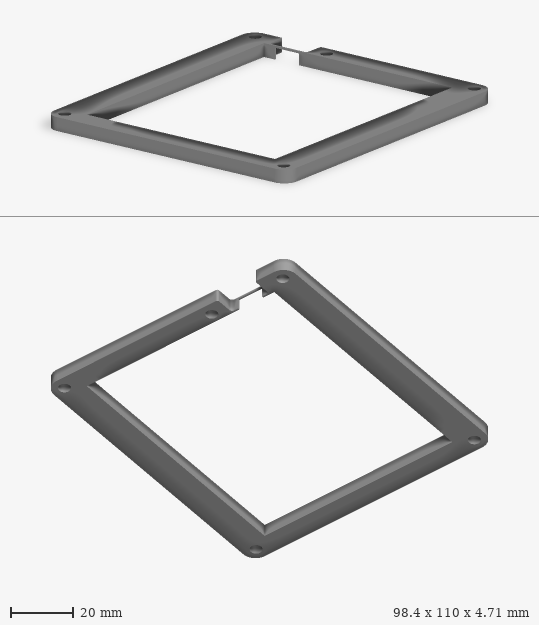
import cadquery as cq

length_x = 98.42
length_y = 109.97
thickness = 4.71
corner_radius = 5.0

window_x = 76.4
window_y = 94.0

hole_diameter = 4.25
hole_inset_x = 4.75
hole_inset_y = 4.4
extra_hole_x = -15.5

notch_width = 15.2
notch_depth = 7.3
notch_center_x = -28.9
notch_mouth_radius = 0.8
notch_floor_radius = 1.2

gap_width = 9.7
bridge_height = 0.7

back_y = length_y / 2
hole_x = length_x / 2 - hole_inset_x
hole_y = back_y - hole_inset_y
notch_floor_y = back_y - notch_depth
web_thickness = notch_floor_y - window_y / 2


def make_frame():
    """Rounded plate with the central window cut out."""
    plate = (
        cq.Workplane("XY")
        .rect(length_x, length_y)
        .extrude(thickness)
        .edges("|Z")
        .fillet(corner_radius)
    )
    window = cq.Workplane("XY").rect(window_x, window_y).extrude(thickness)
    return plate.cut(window)


def make_holes():
    """Cylinders for the five through holes."""
    corners = [(sx * hole_x, sy * hole_y) for sx in (-1, 1) for sy in (-1, 1)]
    centers = corners + [(extra_hole_x, hole_y)]
    return cq.Workplane("XY").pushPoints(centers).circle(hole_diameter / 2).extrude(thickness)


def make_notch():
    """Notch cutter: rounded floor corners and a mouth flared by convex arcs."""
    half = notch_width / 2
    mouth_half = half + notch_mouth_radius
    mouth_y = back_y - notch_mouth_radius
    floor_half = half - notch_floor_radius
    floor_top_y = notch_floor_y + notch_floor_radius
    return (
        cq.Workplane("XY")
        .center(notch_center_x, 0)
        .moveTo(-mouth_half, back_y)
        .radiusArc((-half, mouth_y), notch_mouth_radius)
        .lineTo(-half, floor_top_y)
        .radiusArc((-floor_half, notch_floor_y), -notch_floor_radius)
        .lineTo(floor_half, notch_floor_y)
        .radiusArc((half, floor_top_y), -notch_floor_radius)
        .lineTo(half, mouth_y)
        .radiusArc((mouth_half, back_y), notch_mouth_radius)
        .close()
        .extrude(thickness)
    )


def make_web_gap():
    """Opening from the notch to the window, below the bridge."""
    web_center_y = notch_floor_y - web_thickness / 2
    return (
        cq.Workplane("XY")
        .center(notch_center_x, web_center_y)
        .rect(gap_width, web_thickness)
        .extrude(thickness - bridge_height)
    )


result = make_frame().cut(make_holes()).cut(make_notch()).cut(make_web_gap())